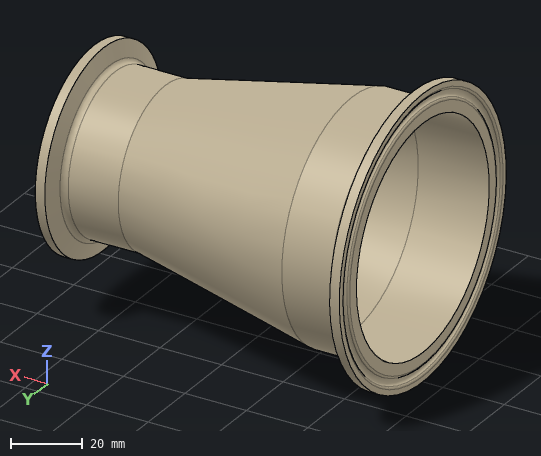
import cadquery as cq
import math

LENGTH = 107.0

LARGE_OUTER_R = 76.3 / 2
LARGE_INNER_R = 72.3 / 2
LARGE_FLANGE_R = 91.0 / 2

SMALL_OUTER_R = 50.8 / 2
SMALL_INNER_R = 47.8 / 2
SMALL_FLANGE_R = 64.0 / 2

STRAIGHT_LENGTH = 23.1
CONE_START = STRAIGHT_LENGTH
CONE_END = LENGTH - STRAIGHT_LENGTH

RIM_THICKNESS = 3.15
BACK_ANGLE = math.radians(19)
ROOT_FILLET = 2.0

GROOVE_MID_R = 83.5 / 2
GROOVE_RADIUS = 1.3
GROOVE_LIP_RADIUS = 0.85
GROOVE_WALL_ANGLE = math.radians(64)


def back_length(flange_r, outer_r):
    """Axial run of the sloped flange back, from the rim down to the pipe."""
    return (flange_r - outer_r) * math.tan(BACK_ANGLE)


LARGE_ROOT_X = RIM_THICKNESS + back_length(LARGE_FLANGE_R, LARGE_OUTER_R)
SMALL_ROOT_X = LENGTH - RIM_THICKNESS - back_length(SMALL_FLANGE_R, SMALL_OUTER_R)


def add_gasket_groove(section):
    """Draw the groove along the large face, from its inner lip to its outer lip."""
    half_angle = GROOVE_WALL_ANGLE / 2
    depth = (GROOVE_RADIUS + GROOVE_LIP_RADIUS) * (1 - math.cos(GROOVE_WALL_ANGLE))
    lip_edge = (GROOVE_RADIUS + GROOVE_LIP_RADIUS) * math.sin(GROOVE_WALL_ANGLE)
    lip_mid = lip_edge - GROOVE_LIP_RADIUS * math.sin(half_angle)
    lip_mid_x = GROOVE_LIP_RADIUS * (1 - math.cos(half_angle))
    blend = GROOVE_RADIUS * math.sin(GROOVE_WALL_ANGLE)
    blend_x = GROOVE_LIP_RADIUS * (1 - math.cos(GROOVE_WALL_ANGLE))
    return (
        section.lineTo(0, GROOVE_MID_R - lip_edge)
        .threePointArc((lip_mid_x, GROOVE_MID_R - lip_mid), (blend_x, GROOVE_MID_R - blend))
        .threePointArc((depth, GROOVE_MID_R), (blend_x, GROOVE_MID_R + blend))
        .threePointArc((lip_mid_x, GROOVE_MID_R + lip_mid), (0, GROOVE_MID_R + lip_edge))
    )


def make_reducer():
    """Revolve the wall section about X: two ferrules joined by a concentric cone."""
    section = cq.Workplane("XZ").moveTo(0, LARGE_INNER_R)
    section = (
        add_gasket_groove(section)
        .lineTo(0, LARGE_FLANGE_R)
        .lineTo(RIM_THICKNESS, LARGE_FLANGE_R)
        .lineTo(LARGE_ROOT_X, LARGE_OUTER_R)
        .lineTo(CONE_START, LARGE_OUTER_R)
        .lineTo(CONE_END, SMALL_OUTER_R)
        .lineTo(SMALL_ROOT_X, SMALL_OUTER_R)
        .lineTo(LENGTH - RIM_THICKNESS, SMALL_FLANGE_R)
        .lineTo(LENGTH, SMALL_FLANGE_R)
        .lineTo(LENGTH, SMALL_INNER_R)
        .lineTo(CONE_END, SMALL_INNER_R)
        .lineTo(CONE_START, LARGE_INNER_R)
        .close()
    )
    return section.revolve(360, (0, 0, 0), (1, 0, 0))


def fillet_flange_root(body, root_x, pipe_r):
    """Round the corner where a sloped flange back meets the pipe."""
    margin = 0.1
    reach = pipe_r + margin
    root_edge = cq.selectors.BoxSelector(
        (root_x - margin, -reach, -reach),
        (root_x + margin, reach, reach),
        boundingbox=True,
    )
    return body.edges(root_edge).fillet(ROOT_FILLET)


reducer = make_reducer()
reducer = fillet_flange_root(reducer, LARGE_ROOT_X, LARGE_OUTER_R)
reducer = fillet_flange_root(reducer, SMALL_ROOT_X, SMALL_OUTER_R)
result = reducer